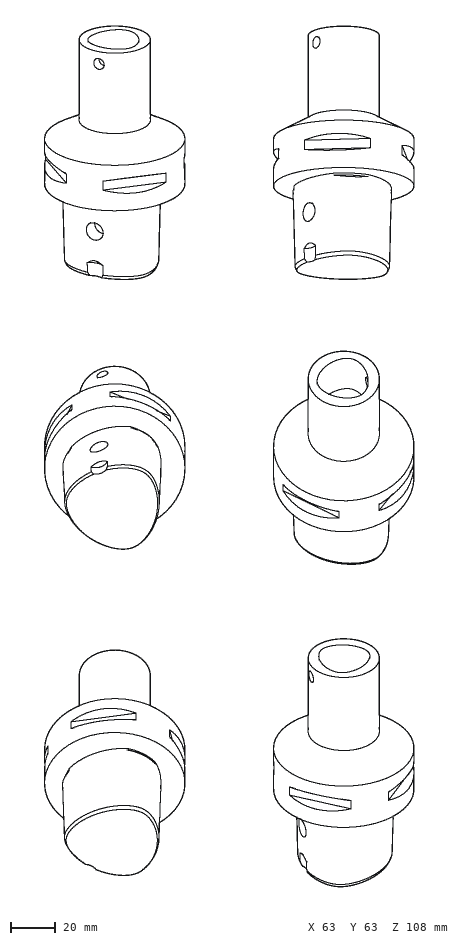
import cadquery as cq
import math

total_height = 108.0

flange_diameter = 63.0
flange_radius = flange_diameter / 2
flange_bottom = 38.0
flange_height = 22.0
flange_top = flange_bottom + flange_height
cone_height = 9.0
neck_bottom = flange_top + cone_height
neck_radius = 16.0

taper_per_length = 1 / 40

shank_radius = 22.0
shank_lobe = 1.4
collar_height = 2.9
collar_bottom = flange_bottom - collar_height
end_chamfer_height = 1.7
end_chamfer_inset = 0.8

relief_radius = 22.4
relief_height = 1.0
relief_slope_drop = 1.3
relief_outer_radius = 23.8

pocket_radius = 11.5
pocket_lobe = 0.6
pocket_depth = 21.6

slot_floor_distance = 27.8
slot_mid_height = 50.0
slot_floor_width = 4.3
slot_mouth_width = 7.8

neck_hole_radius = 2.6
neck_hole_drop = 5.9

dimple_radius = 4.2
dimple_height = 22.5
dimple_depth = 8.6
drill_point_angle = 118.0

notch_radius = 6.0
notch_height = 6.4
notch_bite = 1.7

slot_angles = (45, 135, 225, 315)
curve_points = 72


def lobed_outline(mean_radius, lobe, height):
    """Constant-width curve with three lobes, one of them pointing to +Y."""
    points = []
    for i in range(curve_points):
        angle = 2 * math.pi * i / curve_points
        phase = 3 * (angle - math.pi / 2)
        reach = mean_radius + lobe * math.cos(phase)
        slide = -3 * lobe * math.sin(phase)
        x = reach * math.cos(angle) - slide * math.sin(angle)
        y = reach * math.sin(angle) + slide * math.cos(angle)
        points.append((x, y))
    return cq.Workplane("XY", origin=(0, 0, height)).spline(points, periodic=True).wire()


def lobed_loft(lobe, *sections):
    """Ruled solid through (mean radius, height) sections, listed upwards."""
    wires = [lobed_outline(radius, lobe, height).val() for radius, height in sections]
    return cq.Workplane(obj=cq.Solid.makeLoft(wires, True))


def make_body():
    half_profile = [
        (0, flange_bottom),
        (flange_radius, flange_bottom),
        (flange_radius, flange_top),
        (neck_radius, neck_bottom),
        (neck_radius, total_height),
        (0, total_height),
    ]
    return cq.Workplane("XZ").polyline(half_profile).close().revolve(360, (0, 0), (0, 1))


shank_taper_length = collar_bottom - end_chamfer_height
shank_end_radius = shank_radius - shank_taper_length * taper_per_length


def make_shank():
    return lobed_loft(
        shank_lobe,
        (shank_end_radius - end_chamfer_inset, 0),
        (shank_end_radius, end_chamfer_height),
        (shank_radius, collar_bottom),
        (shank_radius, flange_bottom),
    )


def make_relief():
    ring_profile = [
        (relief_radius, flange_bottom),
        (relief_radius, flange_bottom - relief_height),
        (relief_outer_radius, flange_bottom - relief_height - relief_slope_drop),
        (relief_outer_radius, flange_bottom),
    ]
    return cq.Workplane("XZ").polyline(ring_profile).close().revolve(360, (0, 0), (0, 1))


def flat_side_y(height):
    """Y position of the shank's flat side at a height on the taper."""
    return -(shank_radius - shank_lobe - (collar_bottom - height) * taper_per_length)


def make_dimple():
    mouth_y = -flange_radius
    straight_end_y = flat_side_y(dimple_height) + dimple_depth
    point_length = dimple_radius / math.tan(math.radians(drill_point_angle / 2))
    half_profile = [
        (0, mouth_y),
        (dimple_radius, mouth_y),
        (dimple_radius, straight_end_y),
        (0, straight_end_y + point_length),
    ]
    drill = cq.Workplane("XY").polyline(half_profile).close().revolve(360, (0, 0), (0, 1))
    return drill.translate((0, 0, dimple_height))


def make_notch():
    half_profile = [
        (0, 0),
        (notch_radius, 0),
        (notch_radius, notch_height),
        (0, notch_height + notch_radius),
    ]
    cutter = cq.Workplane("XZ").polyline(half_profile).close().revolve(360, (0, 0), (0, 1))
    axis_y = flat_side_y(notch_height) + notch_bite - notch_radius
    return cutter.translate((0, axis_y, 0))


def make_slot(angle):
    half_floor = slot_floor_width / 2
    half_mouth = slot_mouth_width / 2
    profile = [
        (slot_floor_distance, slot_mid_height - half_floor),
        (flange_radius, slot_mid_height - half_mouth),
        (flange_radius, slot_mid_height + half_mouth),
        (slot_floor_distance, slot_mid_height + half_floor),
    ]
    slot = cq.Workplane("XZ").polyline(profile).close().extrude(flange_radius, both=True)
    return slot.rotate((0, 0, 0), (0, 0, 1), angle)


def make_pocket():
    floor_height = total_height - pocket_depth
    return lobed_outline(pocket_radius, pocket_lobe, floor_height).extrude(pocket_depth)


def make_neck_hole():
    hole = cq.Workplane("XZ").circle(neck_hole_radius).extrude(neck_radius)
    return hole.translate((0, 0, total_height - neck_hole_drop))


shank = make_shank().cut(make_relief()).cut(make_dimple()).cut(make_notch())
result = make_body().union(shank)
for slot_angle in slot_angles:
    result = result.cut(make_slot(slot_angle))
result = result.cut(make_pocket()).cut(make_neck_hole())